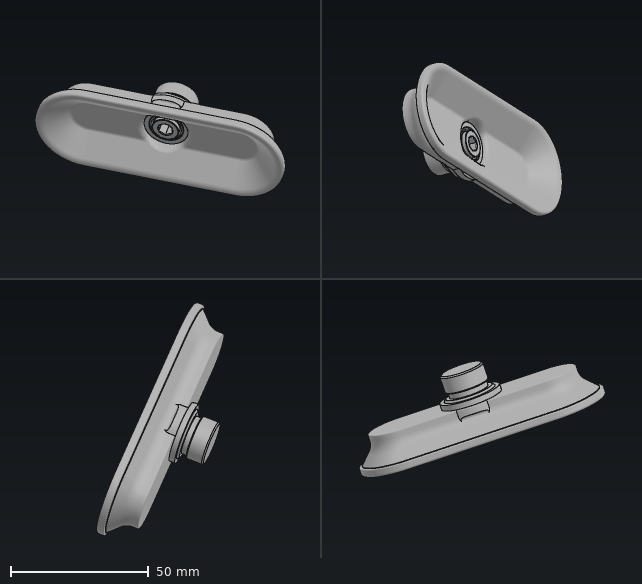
import cadquery as cq
import math

length = 94.0
lip_radius = 18.5
end_offset = length / 2 - lip_radius
lip_thickness = 3.3
lip_front_fillet = 1.0
lip_back_fillet = 0.6

skirt_angle = math.radians(45)
skirt_front_y = 3.5
skirt_back_y = 7.2
neck_radius = 11.6
neck_y = 11.5
skirt_back_radius = neck_radius + (neck_y - skirt_back_y) * math.tan(skirt_angle / 2)
skirt_front_radius = skirt_back_radius + (skirt_back_y - skirt_front_y) * math.tan(skirt_angle)
housing_back_y = 13.9
back_fillet = 0.5

wall_angle = math.radians(40)
mouth_radius = 17.2
wall_front_radius = 15.1
wall_back_radius = 7.1
floor_radius = 6.1
round_rise = math.tan(wall_angle / 2)
wall_front_y = (mouth_radius - wall_front_radius) * round_rise
wall_back_y = wall_front_y + (wall_front_radius - wall_back_radius) * math.tan(wall_angle)
floor_y = wall_back_y + (wall_back_radius - floor_radius) * round_rise

recess_radius = 16.6 / 2
recess_rim_fillet = 2.1
recess_depth = 2.2
recess_y = floor_y + recess_depth

groove_outer_radius = 13.1 / 2
groove_inner_radius = 12.8 / 2
groove_depth = 0.5
countersink_front_radius = 11.5 / 2
countersink_back_radius = 10.1 / 2
countersink_depth = 0.7
screw_radius = 10.0 / 2
screw_chamfer = 0.2
screw_height = 1.2
screw_face_y = recess_y - screw_height
socket_chamfer_depth = 0.4
socket_across_flats = 5.0
socket_depth = 6.0

boss_radius = 13.0
boss_front_y = 11.1
boss_fillet = 1.1

flange_radius = 23.0 / 2
flange_back_y = 16.2
collar_front_radius = 9.8
collar_back_radius = 8.9
collar_back_y = 17.0
stem_radius = 14.8 / 2
head_radius = 16.6 / 2
head_front_y = 19.2
head_back_y = 25.9
head_front_chamfer = 0.4
head_back_chamfer = 0.6

selection_margin = 0.1


def fillet_mid(center_r, center_y, radius, angle):
    """Middle point of a quarter round, at the given angle from +R towards +Y."""
    a = math.radians(angle)
    return (center_r + radius * math.cos(a), center_y + radius * math.sin(a))


def turned(half_profile, x=0.0):
    """Revolve a half profile drawn as (radius, y) about an axis along Y."""
    return half_profile.close().revolve(360, (0, 0, 0), (0, 1, 0)).translate((x, 0, 0))


def obround(draw_half):
    """Sweep a half profile around an obround: two turned ends and a straight middle."""
    half = draw_half().close().extrude(2 * end_offset)
    upper = half.rotate((0, 0, 0), (0, 1, 0), -90).translate((end_offset, 0, 0))
    body = upper.union(upper.mirror("XY"))
    for x in (-end_offset, end_offset):
        body = body.union(turned(draw_half(), x))
    return body


def housing_half():
    """Half profile of the solid housing: lip, skirt, concave neck and back."""
    front_round = lip_radius - lip_front_fillet
    back_round = lip_radius - lip_back_fillet
    back_round_y = lip_thickness - lip_back_fillet
    rim = neck_radius - back_fillet
    rim_y = housing_back_y - back_fillet
    return (
        cq.Workplane("XY")
        .lineTo(front_round, 0)
        .threePointArc(
            fillet_mid(front_round, lip_front_fillet, lip_front_fillet, -45),
            (lip_radius, lip_front_fillet),
        )
        .lineTo(lip_radius, back_round_y)
        .threePointArc(
            fillet_mid(back_round, back_round_y, lip_back_fillet, 45),
            (back_round, lip_thickness),
        )
        .lineTo(skirt_front_radius, lip_thickness)
        .lineTo(skirt_front_radius, skirt_front_y)
        .lineTo(skirt_back_radius, skirt_back_y)
        .tangentArcPoint((neck_radius, neck_y), relative=False)
        .lineTo(neck_radius, rim_y)
        .threePointArc(fillet_mid(rim, rim_y, back_fillet, 45), (rim, housing_back_y))
        .lineTo(0, housing_back_y)
    )


def cavity_half():
    """Half profile of the open cavity, from the floor out to the mouth."""
    return (
        cq.Workplane("XY")
        .moveTo(0, floor_y)
        .lineTo(floor_radius, floor_y)
        .tangentArcPoint((wall_back_radius, wall_back_y), relative=False)
        .lineTo(wall_front_radius, wall_front_y)
        .tangentArcPoint((mouth_radius, 0), relative=False)
        .lineTo(0, 0)
    )


def disc(radius, y_start, y_end):
    """Plain cylinder along Y."""
    return cq.Workplane("XZ", origin=(0, y_start, 0)).circle(radius).extrude(y_start - y_end)


def side_bosses(body):
    """Join the disc to the housing and round its front corners against the neck."""
    boss = disc(boss_radius, boss_front_y, housing_back_y).faces(">Y").edges().fillet(back_fillet)
    body = body.union(boss)
    corner_reach = neck_radius + selection_margin
    front_corners = cq.selectors.BoxSelector(
        (-corner_reach, boss_front_y - selection_margin, -corner_reach),
        (corner_reach, boss_front_y + selection_margin, corner_reach),
    )
    return body.edges(front_corners).edges("|X").fillet(boss_fillet)


def recess(body):
    """Sink a round recess through the floor and lower walls, with a rounded rim."""
    body = body.cut(disc(recess_radius, 0, recess_y))
    reach = recess_radius + selection_margin
    rim_zone = cq.selectors.BoxSelector(
        (-reach, 0, -reach),
        (reach, recess_y - selection_margin, reach),
        boundingbox=True,
    )
    return body.edges(rim_zone).edges("not |Y").fillet(recess_rim_fillet)


def stem():
    """Flange, conical collar, stem and chamfered head on the back."""
    return turned(
        cq.Workplane("XY")
        .moveTo(0, housing_back_y)
        .lineTo(flange_radius, housing_back_y)
        .lineTo(flange_radius, flange_back_y)
        .lineTo(collar_front_radius, flange_back_y)
        .lineTo(collar_back_radius, collar_back_y)
        .lineTo(stem_radius, collar_back_y)
        .lineTo(stem_radius, head_front_y)
        .lineTo(head_radius - head_front_chamfer, head_front_y)
        .lineTo(head_radius, head_front_y + head_front_chamfer)
        .lineTo(head_radius, head_back_y - head_back_chamfer)
        .lineTo(head_radius - head_back_chamfer, head_back_y)
        .lineTo(0, head_back_y)
    )


def bushing_groove():
    """Thin ring groove between the housing and the bushing."""
    outer = disc(groove_outer_radius, recess_y, recess_y + groove_depth)
    return outer.cut(disc(groove_inner_radius, recess_y, recess_y + groove_depth))


def bushing_countersink():
    """Conical hole in the bushing around the screw."""
    return turned(
        cq.Workplane("XY")
        .moveTo(0, recess_y)
        .lineTo(countersink_front_radius, recess_y)
        .lineTo(countersink_back_radius, recess_y + countersink_depth)
        .lineTo(0, recess_y + countersink_depth)
    )


def screw_end():
    """Screw end standing out of the bushing."""
    end = disc(screw_radius, screw_face_y, recess_y + countersink_depth)
    return end.faces("<Y").edges().chamfer(screw_chamfer)


def hex_socket():
    """Hexagon socket with corners up and down and a conical lead-in."""
    inner_radius = socket_across_flats / 2
    corner_radius = inner_radius / math.cos(math.pi / 6)
    hexagon = (
        cq.Workplane("XZ", origin=(0, screw_face_y, 0))
        .transformed(rotate=(0, 0, 30))
        .polygon(6, 2 * corner_radius)
        .extrude(-socket_depth)
    )
    lead_in = turned(
        cq.Workplane("XY")
        .moveTo(0, screw_face_y)
        .lineTo(corner_radius, screw_face_y)
        .lineTo(inner_radius, screw_face_y + socket_chamfer_depth)
        .lineTo(0, screw_face_y + socket_chamfer_depth)
    )
    return hexagon.union(lead_in)


body = obround(housing_half).cut(obround(cavity_half))
body = side_bosses(body)
body = recess(body)
body = body.union(stem())
body = body.cut(bushing_groove()).cut(bushing_countersink()).union(screw_end())
result = body.cut(hex_socket())